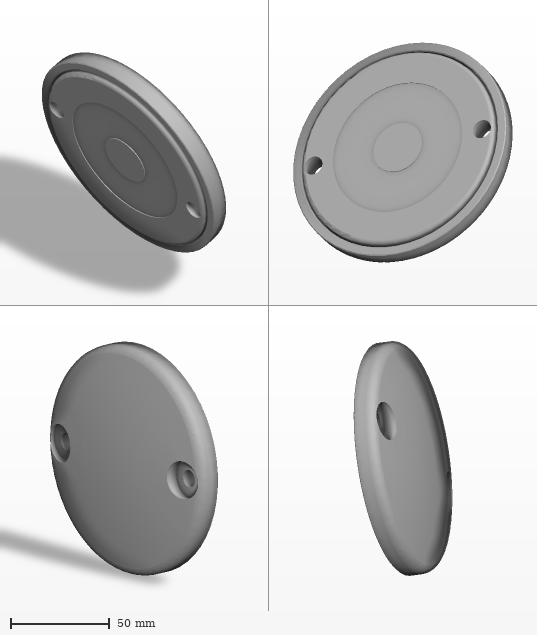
import cadquery as cq
import math

outer_radius = 59.5
total_height = 20.0

cover_bottom = 2.0
dome_edge_height = 13.0
rim_fillet = 5.0
rim_chamfer = 0.5
recess_radius = 54.5
recess_chamfer = 0.6
recess_top = 8.0

plate_radius = 53.5
plate_top_radius = 54.0
plate_fillet = 2.0
groove_depth = 0.5
groove_inner_radius = 13.6
groove_outer_radius = 36.0

hole_offset = 47.0
hole_bottom_radius = 5.0
hole_top_radius = 4.5
counterbore_radius = 9.9
counterbore_floor = 11.0


def disc(radius, bottom, top):
    """A disc on the Y axis between two heights."""
    return cq.Workplane("XZ", origin=(0, bottom, 0)).circle(radius).extrude(bottom - top)


def screw_hole_cutters():
    """The tapered through hole and its counterbore, once on each side of the axis."""
    half_section = [
        (0, 0),
        (hole_bottom_radius, 0),
        (hole_top_radius, counterbore_floor),
        (counterbore_radius, counterbore_floor),
        (counterbore_radius, total_height),
        (0, total_height),
    ]
    cutter = cq.Workplane("XY").polyline(half_section).close().revolve(360, (0, 0), (0, 1))
    return [cutter.translate((side * hole_offset, 0, 0)) for side in (-1, 1)]


def cut_screw_holes(body):
    """The body with both screw holes removed from it."""
    for cutter in screw_hole_cutters():
        body = body.cut(cutter)
    return body


def domed_blank():
    """The solid cover: spherical top, rounded upper rim and chamfered lower rim."""
    rise = total_height - dome_edge_height
    dome_radius = (outer_radius**2 + rise**2) / (2 * rise)
    mid_radius = outer_radius / 2
    mid_height = total_height - dome_radius + math.sqrt(dome_radius**2 - mid_radius**2)
    blank = (
        cq.Workplane("XY")
        .moveTo(0, cover_bottom)
        .lineTo(outer_radius, cover_bottom)
        .lineTo(outer_radius, dome_edge_height)
        .threePointArc((mid_radius, mid_height), (0, total_height))
        .close()
        .revolve(360, (0, 0), (0, 1))
    )
    upper_rim = cq.selectors.NearestToPointSelector((0, dome_edge_height, 0))
    blank = blank.edges("%CIRCLE").edges(upper_rim).fillet(rim_fillet)
    return blank.faces("<Y").edges().chamfer(rim_chamfer)


def make_cover():
    """The domed cover with its chamfered recess and screw holes."""
    recess = disc(recess_radius, cover_bottom, recess_top)
    cover = domed_blank().cut(recess)
    cover = cover.faces("<Y").edges(cq.selectors.RadiusNthSelector(0)).chamfer(recess_chamfer)
    return cut_screw_holes(cover)


def plate_blank():
    """The plain plate: a tapered disc with a rounded lower rim."""
    arc_inset = plate_fillet * (1 - math.cos(math.radians(45)))
    return (
        cq.Workplane("XY")
        .lineTo(plate_radius - plate_fillet, 0)
        .threePointArc((plate_radius - arc_inset, arc_inset), (plate_radius, plate_fillet))
        .lineTo(plate_top_radius, recess_top)
        .lineTo(0, recess_top)
        .close()
        .revolve(360, (0, 0), (0, 1))
    )


def make_base_plate():
    """The base plate with its shallow ring groove and screw holes."""
    groove = disc(groove_outer_radius, 0, groove_depth).cut(disc(groove_inner_radius, 0, groove_depth))
    return cut_screw_holes(plate_blank().cut(groove))


cover = make_cover()
base_plate = make_base_plate()

result = cq.Compound.makeCompound([cover.val(), base_plate.val()])